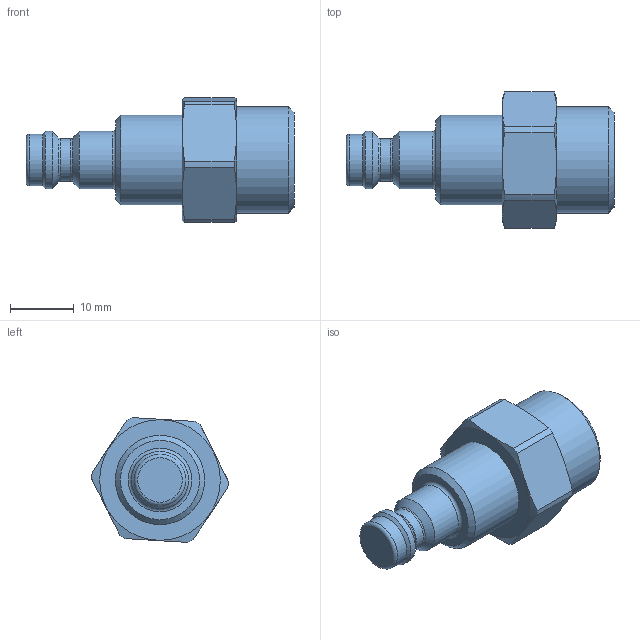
import cadquery as cq
import math

LENGTH = 42.0
NOSE_FACE_X = -LENGTH / 2
NOSE_LENGTH = 2.6
GROOVE_START = 5.27
GROOVE_END = 7.2
COLLAR_START = 14.06
HEX_START = 24.5
HEX_LENGTH = 8.5

NOSE_DIAMETER = 8.1
STEM_DIAMETER = 9.0
GROOVE_DIAMETER = 6.65
COLLAR_DIAMETER = 14.0
REAR_DIAMETER = 16.66

NOSE_FILLET = 0.55
GROOVE_FILLET = 0.4
STEM_FILLET = 0.5
COLLAR_CHAMFER = 0.8
REAR_CHAMFER = 0.83

ACROSS_FLATS = 19.0
CORNER_DIAMETER = 21.4
HEX_TILT = 3.46
HEX_FACE_DIAMETER = 18.9
HEX_CHAMFER_ANGLE = 15.0


def revolve_about_x(points):
    """Revolve a closed outline of (distance from nose, radius) points about the X axis."""
    shifted = [(NOSE_FACE_X + x, radius) for x, radius in points]
    return cq.Workplane("XY").polyline(shifted).close().revolve(360, (0, 0), (1, 0))


def circle_edges_at(body, x, radius):
    """Select the circular edge of the given radius at a distance from the nose."""
    margin = 0.01
    reach = radius + margin
    station = NOSE_FACE_X + x
    lower = (station - margin, -reach, -reach)
    upper = (station + margin, reach, reach)
    return body.edges(cq.selectors.BoxSelector(lower, upper, boundingbox=True))


def make_turned_body():
    """Plug nose, locking groove, stem, collar and rear barrel."""
    nose = NOSE_DIAMETER / 2
    stem = STEM_DIAMETER / 2
    groove = GROOVE_DIAMETER / 2
    collar = COLLAR_DIAMETER / 2
    rear = REAR_DIAMETER / 2
    groove_depth = stem - groove
    hex_middle = HEX_START + HEX_LENGTH / 2
    body = revolve_about_x([
        (0, 0),
        (0, nose),
        (NOSE_LENGTH, nose),
        (NOSE_LENGTH + stem - nose, stem),
        (GROOVE_START - groove_depth, stem),
        (GROOVE_START, groove),
        (GROOVE_END, groove),
        (GROOVE_END + groove_depth, stem),
        (COLLAR_START, stem),
        (COLLAR_START, collar - COLLAR_CHAMFER),
        (COLLAR_START + COLLAR_CHAMFER, collar),
        (hex_middle, collar),
        (hex_middle, rear),
        (LENGTH - REAR_CHAMFER, rear),
        (LENGTH, rear - REAR_CHAMFER),
        (LENGTH, 0),
    ])
    body = circle_edges_at(body, 0, nose).fillet(NOSE_FILLET)
    body = circle_edges_at(body, GROOVE_START, groove).fillet(GROOVE_FILLET)
    body = circle_edges_at(body, GROOVE_END, groove).fillet(GROOVE_FILLET)
    body = circle_edges_at(body, COLLAR_START, stem).fillet(STEM_FILLET)
    return body


def make_hexagon():
    """Wrench hexagon with turned corners and shallow conical chamfers on both faces."""
    vertex_diameter = ACROSS_FLATS / math.cos(math.radians(30))
    prism = (
        cq.Workplane("YZ", origin=(NOSE_FACE_X + HEX_START, 0, 0))
        .polygon(6, vertex_diameter)
        .extrude(HEX_LENGTH)
        .rotate((0, 0, 0), (1, 0, 0), HEX_TILT)
    )
    face = HEX_FACE_DIAMETER / 2
    corner = CORNER_DIAMETER / 2
    chamfer = (corner - face) * math.tan(math.radians(HEX_CHAMFER_ANGLE))
    hex_end = HEX_START + HEX_LENGTH
    envelope = revolve_about_x([
        (HEX_START, 0),
        (HEX_START, face),
        (HEX_START + chamfer, corner),
        (hex_end - chamfer, corner),
        (hex_end, face),
        (hex_end, 0),
    ])
    return prism.intersect(envelope)


result = make_turned_body().union(make_hexagon())